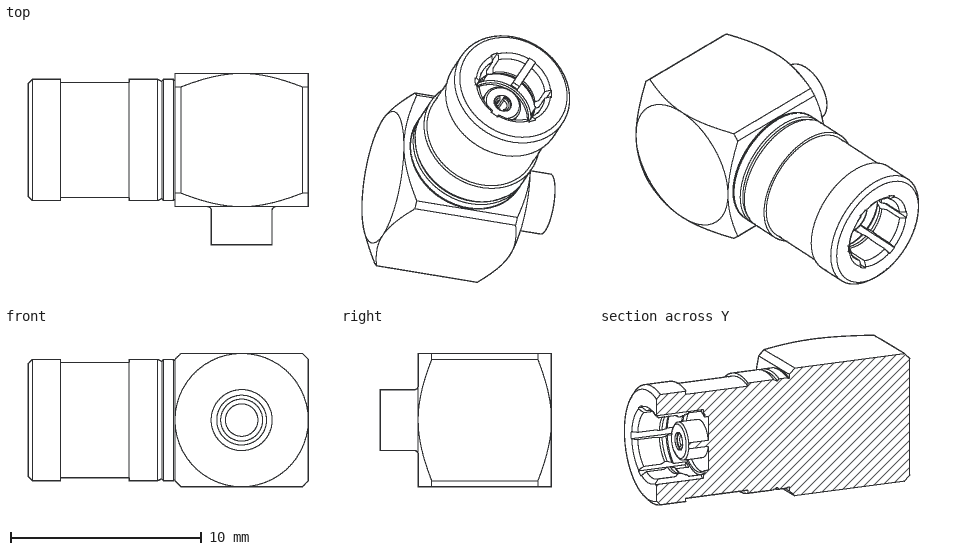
import cadquery as cq
import math


total_length = 14.7
body_size = 7.0
body_half = body_size / 2
body_front = total_length - body_size
body_center_x = body_front + body_half
body_edge_chamfer = 0.31
corner_cone_angle = 30.0

collar_radius = 3.19
collar_chamfer = 0.22
waist_radius = 3.03
waist_start = 1.7
waist_end = 5.29
groove_start = 6.79
groove_bottom = 7.01
groove_end = 7.1
groove_radius = 3.09
neck_start = 7.61
neck_radius = 3.15

bore_radius = 1.82
mouth_chamfer = 0.24
snap_start = 1.19
snap_ramp_angle = 40.0
snap_lead_radius = 0.15
snap_radius = 1.68
snap_flat_end = 1.57
snap_relief_end = 1.76
snap_relief_radius = 1.76
snap_back_start = 1.87
snap_back_radius = 1.8
snap_end = 1.98
rear_bore_radius = 1.9
rear_bore_end = 2.8
floor_radius = 1.76
bore_depth = 3.0
slot_count = 6
slot_width = 0.4
slot_depth = 2.7
slot_radius = 2.12

post_face = 1.76
post_radius = 1.01
post_chamfer = 0.1
contact_radius = 0.47
contact_recess = 0.1
contact_mouth_radius = 0.38
contact_bore_radius = 0.3
contact_bore_depth = 1.0
contact_slot_width = 0.22
drill_angle = 118.0

sleeve_length = 2.0
sleeve_radius = 1.6
sleeve_root_fillet = 0.19
sleeve_bore_radius = 1.1
sleeve_mouth_radius = 1.31
sleeve_mouth_depth = 0.15
sleeve_bore_depth = 2.0
cable_core_radius = 0.85
cable_core_depth = 3.0


def revolve_about_x(points):
    """Revolve an (x, radius) outline, closed along the barrel axis."""
    return cq.Workplane("XY").polyline(points).close().revolve(360, (0, 0), (1, 0))


def make_body():
    """Cube with four chamfered edges along Y and corners turned off by cones."""
    cube = (
        cq.Workplane("XY")
        .box(body_size, body_size, body_size)
        .edges("|Y")
        .chamfer(body_edge_chamfer)
    )
    widest = body_half + body_half / math.tan(math.radians(corner_cone_angle))
    envelope = (
        cq.Workplane("XY")
        .polyline([
            (0, -body_half),
            (body_half, -body_half),
            (widest, 0),
            (body_half, body_half),
            (0, body_half),
        ])
        .close()
        .revolve(360, (0, 0), (0, 1))
    )
    return cube.intersect(envelope).translate((body_center_x, 0, 0))


def make_barrel():
    """Outside of the mating barrel as a solid of revolution."""
    return revolve_about_x([
        (0, 0),
        (0, collar_radius - collar_chamfer),
        (collar_chamfer, collar_radius),
        (waist_start, collar_radius),
        (waist_start, waist_radius),
        (waist_end, waist_radius),
        (waist_end, collar_radius),
        (groove_start, collar_radius),
        (groove_bottom, groove_radius),
        (groove_end, collar_radius),
        (neck_start, collar_radius),
        (neck_start, neck_radius),
        (body_center_x, neck_radius),
        (body_center_x, 0),
    ])


def make_socket():
    """Stepped bore with its inner snap ridge and the six radial slots."""
    ramp = math.radians(snap_ramp_angle)
    lead_center = bore_radius - snap_lead_radius

    def lead_point(angle):
        """Point on the rounded lead into the ridge, at an angle from its start."""
        return (
            snap_start + snap_lead_radius * math.sin(angle),
            lead_center + snap_lead_radius * math.cos(angle),
        )

    ramp_start, ramp_start_radius = lead_point(ramp)
    ramp_end = ramp_start + (ramp_start_radius - snap_radius) / math.tan(ramp)
    socket = (
        cq.Workplane("XY")
        .lineTo(0, bore_radius + mouth_chamfer)
        .lineTo(mouth_chamfer, bore_radius)
        .lineTo(snap_start, bore_radius)
        .threePointArc(lead_point(ramp / 2), lead_point(ramp))
        .lineTo(ramp_end, snap_radius)
        .lineTo(snap_flat_end, snap_radius)
        .lineTo(snap_relief_end, snap_relief_radius)
        .lineTo(snap_back_start, snap_back_radius)
        .lineTo(snap_end, rear_bore_radius)
        .lineTo(rear_bore_end, rear_bore_radius)
        .lineTo(rear_bore_end, floor_radius)
        .lineTo(bore_depth, floor_radius)
        .lineTo(bore_depth, 0)
        .close()
        .revolve(360, (0, 0), (1, 0))
    )
    slots = cq.Workplane("XY")
    for index in range(slot_count):
        slot = (
            cq.Workplane("XY")
            .box(slot_depth, slot_radius, slot_width, centered=(False, False, True))
            .rotate((0, 0, 0), (1, 0, 0), index * 360 / slot_count)
        )
        slots = slots.add(slot)
    slot_limit = cq.Workplane("YZ").circle(slot_radius).extrude(slot_depth)
    return socket.union(slots.combine().intersect(slot_limit))


def make_post_and_contact_hole():
    """Insulator post, and the recessed contact bore with its cross slot to cut into it."""
    post = revolve_about_x([
        (post_face, 0),
        (post_face, post_radius - post_chamfer),
        (post_face + post_chamfer, post_radius),
        (bore_depth, post_radius),
        (bore_depth, 0),
    ])
    contact_face = post_face + contact_recess
    bore_end = contact_face + contact_bore_depth
    mouth_depth = contact_mouth_radius - contact_bore_radius
    drill_tip = contact_bore_radius / math.tan(math.radians(drill_angle / 2))
    contact_hole = revolve_about_x([
        (post_face, 0),
        (post_face, contact_radius),
        (contact_face, contact_radius),
        (contact_face, contact_mouth_radius),
        (contact_face + mouth_depth, contact_bore_radius),
        (bore_end, contact_bore_radius),
        (bore_end + drill_tip, 0),
    ])
    contact_slot = (
        cq.Workplane("YZ", origin=(contact_face, 0, 0))
        .rect(contact_slot_width, 2 * contact_radius)
        .extrude(contact_bore_depth)
        .intersect(cq.Workplane("YZ").circle(contact_radius).extrude(bore_end))
    )
    return post, contact_hole.union(contact_slot)


def make_sleeve():
    """Cable sleeve and its filleted root on the -Y face of the body."""
    root_y = -body_half
    end_y = root_y - sleeve_length
    fillet_mid = sleeve_root_fillet * (1 - math.sqrt(0.5))
    profile = (
        cq.Workplane("XY")
        .moveTo(0, end_y)
        .lineTo(sleeve_radius, end_y)
        .lineTo(sleeve_radius, root_y - sleeve_root_fillet)
        .threePointArc(
            (sleeve_radius + fillet_mid, root_y - fillet_mid),
            (sleeve_radius + sleeve_root_fillet, root_y),
        )
        .lineTo(0, root_y)
        .close()
    )
    return profile.revolve(360, (0, 0), (0, 1)).translate((body_center_x, 0, 0))


def make_cable_hole():
    """Countersunk sleeve bore stepping down to the cable core hole."""
    end_y = -body_half - sleeve_length
    profile = cq.Workplane("XY").polyline([
        (0, end_y),
        (sleeve_mouth_radius, end_y),
        (sleeve_bore_radius, end_y + sleeve_mouth_depth),
        (sleeve_bore_radius, end_y + sleeve_bore_depth),
        (cable_core_radius, end_y + sleeve_bore_depth),
        (cable_core_radius, end_y + cable_core_depth),
        (0, end_y + cable_core_depth),
    ])
    return profile.close().revolve(360, (0, 0), (0, 1)).translate((body_center_x, 0, 0))


post, contact_hole = make_post_and_contact_hole()
result = (
    make_body()
    .union(make_barrel())
    .union(make_sleeve())
    .cut(make_socket())
    .union(post)
    .cut(contact_hole)
    .cut(make_cable_hole())
)